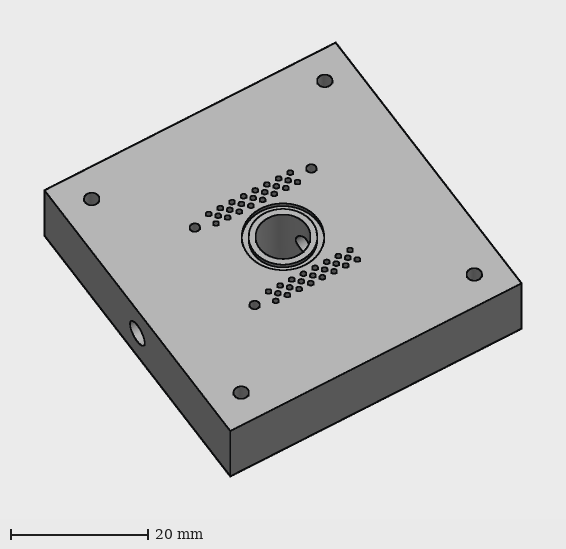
import cadquery as cq

length_x = 51.0
width_y = 50.0
height_z = 11.3
top_z = height_z / 2

bore_diameter = 8.0
groove_inner_diameter = 10.0
groove_outer_diameter = 12.0
groove_depth = 0.7

cross_hole_diameter = 4.04

mount_diameter = 2.26
mount_spacing_x = 41.0
mount_spacing_y = 40.0

pin_diameter = 0.86
field_offset_x = 8.2
column_pitch = 1.0
row_pitch = 2.0
outer_column_rows = 8
middle_column_rows = outer_column_rows - 1

locating_diameter = 1.51
locating_offset_y = 10.0


def column_points(x, rows):
    """Evenly spaced points along Y, centred on y = 0."""
    first_y = -(rows - 1) * row_pitch / 2
    return [(x, first_y + row * row_pitch) for row in range(rows)]


def pin_field_points(center_x):
    """Two outer columns with a middle column staggered by half a row."""
    return (
        column_points(center_x - column_pitch, outer_column_rows)
        + column_points(center_x, middle_column_rows)
        + column_points(center_x + column_pitch, outer_column_rows)
    )


def drill_through(body, points, diameter):
    """Drill vertical through holes at the given XY points."""
    return body.faces(">Z").workplane(origin=(0, 0, top_z)).pushPoints(points).hole(diameter)


def ring_groove():
    """Ring of material removed from the top face around the bore."""
    return (
        cq.Workplane("XY", origin=(0, 0, top_z - groove_depth))
        .circle(groove_outer_diameter / 2)
        .circle(groove_inner_diameter / 2)
        .extrude(groove_depth)
    )


def cross_hole():
    """Cylinder along Y running through the whole block."""
    return cq.Workplane("XZ").circle(cross_hole_diameter / 2).extrude(width_y / 2, both=True)


mount_points = [
    (side_x * mount_spacing_x / 2, side_y * mount_spacing_y / 2)
    for side_x in (-1, 1)
    for side_y in (-1, 1)
]
locating_points = [
    (-field_offset_x, -locating_offset_y),
    (-field_offset_x, locating_offset_y),
    (field_offset_x, -locating_offset_y),
]
pin_points = pin_field_points(-field_offset_x) + pin_field_points(field_offset_x)

block = cq.Workplane("XY").box(length_x, width_y, height_z)
block = drill_through(block, [(0, 0)], bore_diameter)
block = drill_through(block, mount_points, mount_diameter)
block = drill_through(block, locating_points, locating_diameter)
block = drill_through(block, pin_points, pin_diameter)

result = block.cut(ring_groove()).cut(cross_hole())